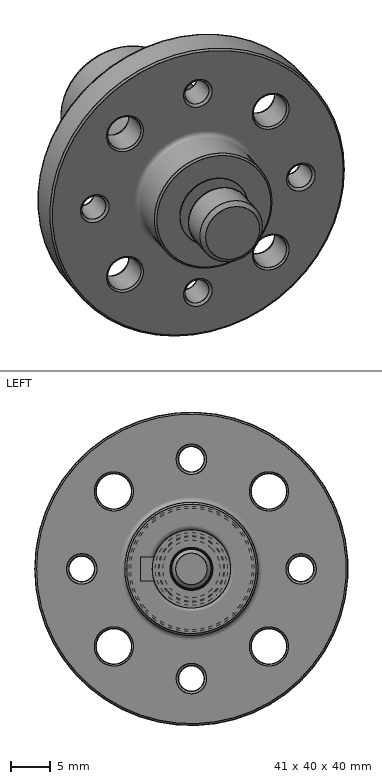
import cadquery as cq
import math


sleeve_diameter = 17.0
flange_diameter = 40.0
boss_diameter = 16.0
flange_start = 23.0
flange_thickness = 5.0
boss_end = 34.0
flange_end = flange_start + flange_thickness
hub_edge_chamfer = 0.25
root_fillet = 0.6

bore_diameter = 10.0
end_wall_thickness = 5.0
bore_end = boss_end - end_wall_thickness
bore_mouth_fillet = 0.5
keyway_width = 3.05
keyway_depth = 6.5
keyway_length = flange_end
screw_hole_diameter = 5.5

bolt_circle_diameter = 28.0
small_hole_diameter = 3.25
large_hole_diameter = 4.5
small_hole_chamfer = 0.33
large_hole_chamfer = 0.25
holes_per_size = 4

washer_diameter = 9.25
washer_hole_diameter = 5.25
washer_thickness = 1.0
washer_protrusion = 0.12
washer_end = boss_end + washer_protrusion
washer_start = washer_end - washer_thickness

overall_length = 41.0
screw_diameter = 5.0
head_diameter = 8.5
head_length = 5.0
head_start = overall_length - head_length
head_outer_chamfer = 0.57
head_inner_chamfer = 0.12
screw_tip_chamfer = 0.5
screw_length = 16.0
screw_start = head_start - screw_length


def cylinder(diameter, start, end):
    """Solid cylinder on the X axis between two X positions."""
    return cq.Workplane("YZ", origin=(start, 0, 0)).circle(diameter / 2).extrude(end - start)


def bolt_holes(diameter, chamfer, first_angle):
    """Ring of through holes with both rims chamfered."""
    rim_radius = diameter / 2 + chamfer
    hole_profile = (
        cq.Workplane("XY")
        .moveTo(flange_start, 0)
        .lineTo(flange_start, rim_radius)
        .lineTo(flange_start + chamfer, diameter / 2)
        .lineTo(flange_end - chamfer, diameter / 2)
        .lineTo(flange_end, rim_radius)
        .lineTo(flange_end, 0)
        .close()
    )
    hole = hole_profile.revolve(360, (0, 0, 0), (1, 0, 0)).val()
    cutters = []
    for index in range(holes_per_size):
        angle = math.radians(first_angle + index * 360 / holes_per_size)
        y = bolt_circle_diameter / 2 * math.cos(angle)
        z = bolt_circle_diameter / 2 * math.sin(angle)
        cutters.append(hole.translate(cq.Vector(0, y, z)))
    return cq.Workplane("YZ").newObject(cutters).combine()


def make_hub():
    sleeve = cylinder(sleeve_diameter, 0, flange_start).faces("<X").chamfer(hub_edge_chamfer)
    flange = cylinder(flange_diameter, flange_start, flange_end).edges().chamfer(hub_edge_chamfer)
    boss = cylinder(boss_diameter, flange_end, boss_end).faces(">X").chamfer(hub_edge_chamfer)
    hub = sleeve.union(flange).union(boss)

    smallest_circle = cq.selectors.RadiusNthSelector(0)
    near_sleeve_root = cq.selectors.BoxSelector(
        (flange_start - root_fillet, -sleeve_diameter, -sleeve_diameter),
        (flange_start + root_fillet, sleeve_diameter, sleeve_diameter),
    )
    near_boss_root = cq.selectors.BoxSelector(
        (flange_end - root_fillet, -boss_diameter, -boss_diameter),
        (flange_end + root_fillet, boss_diameter, boss_diameter),
    )
    for root in (near_sleeve_root, near_boss_root):
        hub = hub.edges(root).edges("%CIRCLE").edges(smallest_circle).fillet(root_fillet)

    hub = hub.cut(cylinder(bore_diameter, 0, bore_end))
    hub = hub.faces("<X").edges(smallest_circle).fillet(bore_mouth_fillet)

    keyway = cq.Workplane("XY").box(
        keyway_length, keyway_depth, keyway_width, centered=(False, False, True)
    )
    hub = hub.cut(keyway)

    hub = hub.cut(cylinder(screw_hole_diameter, bore_end, boss_end))
    hub = hub.cut(cylinder(washer_diameter, washer_start, boss_end))

    hub = hub.cut(bolt_holes(small_hole_diameter, small_hole_chamfer, 0))
    return hub.cut(bolt_holes(large_hole_diameter, large_hole_chamfer, 180 / holes_per_size))


def make_washer():
    washer = cylinder(washer_diameter, washer_start, washer_end)
    return washer.cut(cylinder(washer_hole_diameter, washer_start, washer_end))


def make_screw():
    shank = cylinder(screw_diameter, screw_start, head_start).faces("<X").chamfer(screw_tip_chamfer)
    head = cylinder(head_diameter, head_start, overall_length)
    head = head.faces(">X").chamfer(head_outer_chamfer).faces("<X").chamfer(head_inner_chamfer)
    return shank.union(head)


hub = make_hub()
washer = make_washer()
screw = make_screw()
result = cq.Compound.makeCompound([hub.val(), washer.val(), screw.val()])